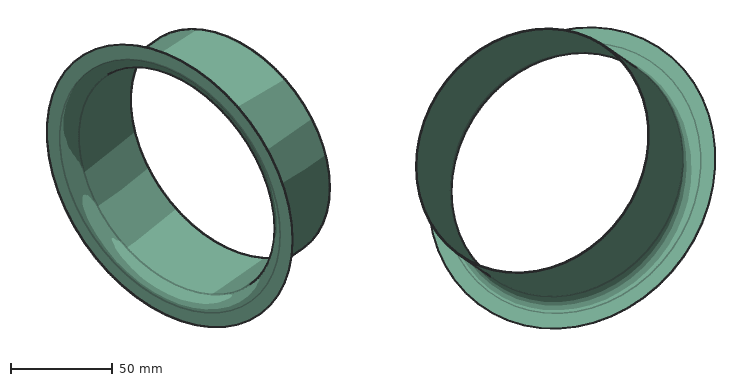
import cadquery as cq
import math

flange_diameter = 155.2
tube_outer_diameter = 126.2
tube_bore_diameter = 125.3
total_depth = 48.5
inner_bend_radius = 7.0

flange_radius = flange_diameter / 2
outer_radius = tube_outer_diameter / 2
bore_radius = tube_bore_diameter / 2
wall = outer_radius - bore_radius
outer_bend_radius = inner_bend_radius - wall

bend_center_radius = bore_radius + inner_bend_radius
bend_center_y = inner_bend_radius


def bend_midpoint(bend_radius):
    """Point halfway round a quarter bend, between the tube and the flange."""
    offset = bend_radius * math.sin(math.pi / 4)
    return (bend_center_radius - offset, bend_center_y - offset)


section = (
    cq.Workplane("XY")
    .moveTo(flange_radius, 0)
    .lineTo(bend_center_radius, 0)
    .threePointArc(bend_midpoint(inner_bend_radius), (bore_radius, bend_center_y))
    .lineTo(bore_radius, total_depth)
    .lineTo(outer_radius, total_depth)
    .lineTo(outer_radius, bend_center_y)
    .threePointArc(bend_midpoint(outer_bend_radius), (bend_center_radius, wall))
    .lineTo(flange_radius, wall)
    .close()
)

result = section.revolve(360, (0, 0, 0), (0, 1, 0))